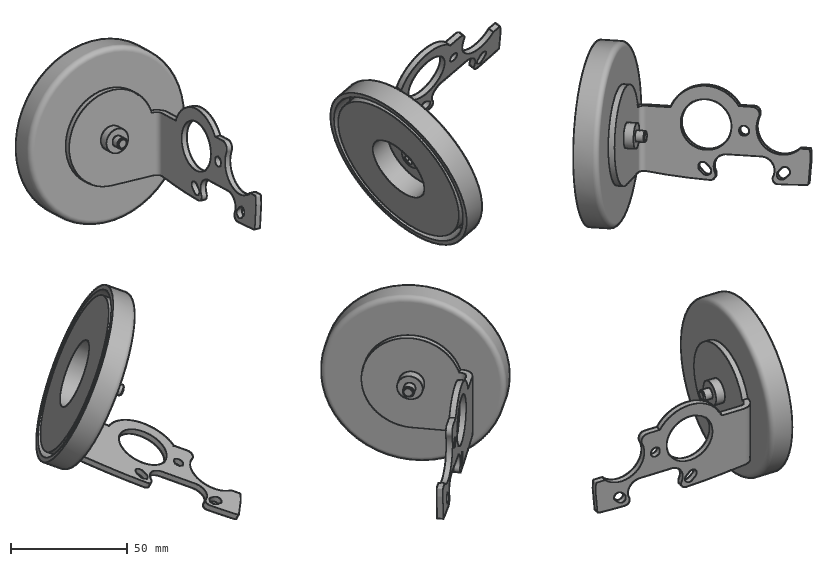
import cadquery as cq
import math

POT_DIAMETER = 81.0
POT_RADIUS = POT_DIAMETER / 2
POT_LENGTH = 11.1
POT_EDGE_ROUND = 2.4
GROOVE_OUTER_RADIUS = 38.3
GROOVE_INNER_RADIUS = 35.8
BORE_RADIUS = 15.3
POT_FLOOR = 1.6
BORE_DEPTH = POT_LENGTH - POT_FLOOR
GROOVE_DEPTH = BORE_DEPTH

HEAD_RADIUS = 5.5
HEAD_HEIGHT = 3.0
HEAD_ROUND = 2.4
SOCKET_ACROSS_FLATS = 4.0
SOCKET_DEPTH = 2.0
SHANK_RADIUS = 2.5
SHANK_END_X = 22.4
SHANK_CHAMFER = 0.5

NUT_RADIUS = 5.6
NUT_THICKNESS = 4.4

SHEET = 2.8
BEND_OUTER_RADIUS = 5.4
BEND_INNER_RADIUS = BEND_OUTER_RADIUS - SHEET
FLANGE_RADIUS = 22.0
FLANGE_BACK_X = POT_LENGTH
FLANGE_FRONT_X = FLANGE_BACK_X + SHEET
PLATE_START_X = FLANGE_BACK_X + BEND_OUTER_RADIUS
PLATE_END_X = 89.3
PLATE_OUTER_Y = 27.0
PLATE_INNER_Y = PLATE_OUTER_Y - SHEET
BEND_START_Y = PLATE_OUTER_Y - BEND_OUTER_RADIUS

RING_X = 43.0
CRADLE_X = 76.7
MIDDLE_X = (RING_X + CRADLE_X) / 2
RING_Z = 0.4
RING_HOLE_RADIUS = 11.25
RING_OUTER_RADIUS = 17.2
CRADLE_RADIUS = 11.3

ARM_TOP_Z = 7.05
ARM_BOTTOM_Z = -FLANGE_RADIUS
SHOULDER_Z = 9.5
SHOULDER_ROUND = 3.0
TAIL_TOP_Z = -7.8
TAIL_TOP_X = 89.0
TAIL_WIDEST_Z = -12.0
TAIL_BOTTOM_X = 88.3
TAIL_BOTTOM_Z = -23.7
TAIL_ROUND = 0.7

NOTCH_TOP_Z = -12.3
NOTCH_RADIUS = 5.8
NOTCH_HALF_WIDTH = 13.5
NOTCH_ARC_OFFSET_X = NOTCH_HALF_WIDTH - NOTCH_RADIUS
NOTCH_ARC_Z = NOTCH_TOP_Z - NOTCH_RADIUS
FOOT_ROUND = 2.4
FOOT_BOTTOM_Z = -24.2
ARM_BOTTOM_SAG = 0.4
TAIL_BOTTOM_SAG = 0.1

PIN_HOLE_RADIUS = 2.2
PIN_HOLE_Z = -1.3
SLOT_OFFSET_X = 17.4
SLOT_Z = -19.2
SLOT_WIDTH = 4.2
SLOT_LENGTH = 6.4
SLOT_TILT = 45.0


def cylinder_x(radius, start_x, end_x):
    """A cylinder about the X axis between two X positions."""
    return cq.Workplane("YZ", origin=(start_x, 0, 0)).circle(radius).extrude(end_x - start_x)


def point_between(center_a, radius_a, center_b, radius_b):
    """The touching point of two circles that meet from outside."""
    share = radius_a / (radius_a + radius_b)
    return tuple(a + share * (b - a) for a, b in zip(center_a, center_b))


def point_on_circle(center, radius, degrees):
    angle = math.radians(degrees)
    return (center[0] + radius * math.cos(angle), center[1] + radius * math.sin(angle))


def make_pot():
    pot = cylinder_x(POT_RADIUS, 0, POT_LENGTH).faces(">X").edges().fillet(POT_EDGE_ROUND)
    groove = cylinder_x(GROOVE_OUTER_RADIUS, 0, GROOVE_DEPTH).cut(
        cylinder_x(GROOVE_INNER_RADIUS, 0, GROOVE_DEPTH)
    )
    bore = cylinder_x(BORE_RADIUS, 0, BORE_DEPTH)
    screw_hole = cylinder_x(SHANK_RADIUS, BORE_DEPTH, POT_LENGTH)
    return pot.cut(groove).cut(bore).cut(screw_hole)


def make_screw():
    head_top_x = BORE_DEPTH - HEAD_HEIGHT
    head = cylinder_x(HEAD_RADIUS, head_top_x, BORE_DEPTH).faces("<X").edges().fillet(HEAD_ROUND)
    shank = cylinder_x(SHANK_RADIUS, BORE_DEPTH, SHANK_END_X).faces(">X").edges().chamfer(SHANK_CHAMFER)
    across_corners = SOCKET_ACROSS_FLATS / math.cos(math.radians(30))
    socket = cq.Workplane("YZ", origin=(head_top_x, 0, 0)).polygon(6, across_corners).extrude(SOCKET_DEPTH)
    return head.union(shank).cut(socket)


def make_nut():
    end_x = FLANGE_FRONT_X + NUT_THICKNESS
    return cylinder_x(NUT_RADIUS, FLANGE_FRONT_X, end_x).cut(
        cylinder_x(SHANK_RADIUS, FLANGE_FRONT_X, end_x)
    )


def make_flange():
    """The round flange, with a straight strip that leads to the bend."""
    disc = cylinder_x(FLANGE_RADIUS, FLANGE_BACK_X, FLANGE_FRONT_X)
    strip = (
        cq.Workplane("XY", origin=(FLANGE_BACK_X, 0, ARM_BOTTOM_Z))
        .box(SHEET, BEND_START_Y, ARM_TOP_Z - ARM_BOTTOM_Z, centered=False)
    )
    return disc.union(strip).cut(cylinder_x(SHANK_RADIUS, FLANGE_BACK_X, FLANGE_FRONT_X))


def make_bend():
    """The quarter bend between the flange and the plate."""
    center = (PLATE_START_X, BEND_START_Y)
    return (
        cq.Workplane("XY", origin=(0, 0, ARM_BOTTOM_Z))
        .moveTo(FLANGE_BACK_X, BEND_START_Y)
        .threePointArc(point_on_circle(center, BEND_OUTER_RADIUS, 135), (PLATE_START_X, PLATE_OUTER_Y))
        .lineTo(PLATE_START_X, PLATE_INNER_Y)
        .threePointArc(point_on_circle(center, BEND_INNER_RADIUS, 135), (FLANGE_FRONT_X, BEND_START_Y))
        .close()
        .extrude(ARM_TOP_Z - ARM_BOTTOM_Z)
    )


def plate_plane():
    """The plate's outer face, with X and Z of the part as its axes."""
    return cq.Workplane("XZ", origin=(0, PLATE_OUTER_Y, 0))


def make_plate_blank():
    """The plate's outline, without its holes."""
    ring = (RING_X, RING_Z)
    cradle = (CRADLE_X, RING_Z)

    ring_start_x = RING_X - math.sqrt(RING_OUTER_RADIUS**2 - (ARM_TOP_Z - RING_Z) ** 2)
    ring_end_x = RING_X + math.sqrt(RING_OUTER_RADIUS**2 - (SHOULDER_Z - RING_Z) ** 2)

    shoulder_z = SHOULDER_Z - SHOULDER_ROUND
    shoulder_reach = math.sqrt((CRADLE_RADIUS + SHOULDER_ROUND) ** 2 - (shoulder_z - RING_Z) ** 2)
    shoulder = (CRADLE_X - shoulder_reach, shoulder_z)
    cradle_start = point_between(cradle, CRADLE_RADIUS, shoulder, SHOULDER_ROUND)
    cradle_end_x = CRADLE_X + math.sqrt(CRADLE_RADIUS**2 - (TAIL_TOP_Z - RING_Z) ** 2)

    foot_z = FOOT_BOTTOM_Z + FOOT_ROUND
    foot_reach = math.sqrt((NOTCH_RADIUS + FOOT_ROUND) ** 2 - (NOTCH_ARC_Z - foot_z) ** 2)
    foot_offset = NOTCH_ARC_OFFSET_X + foot_reach
    left_foot = (MIDDLE_X - foot_offset, foot_z)
    right_foot = (MIDDLE_X + foot_offset, foot_z)
    left_notch = (MIDDLE_X - NOTCH_ARC_OFFSET_X, NOTCH_ARC_Z)
    right_notch = (MIDDLE_X + NOTCH_ARC_OFFSET_X, NOTCH_ARC_Z)
    left_meeting = point_between(left_notch, NOTCH_RADIUS, left_foot, FOOT_ROUND)
    right_meeting = point_between(right_notch, NOTCH_RADIUS, right_foot, FOOT_ROUND)

    outline = (
        plate_plane()
        .moveTo(PLATE_START_X, ARM_BOTTOM_Z)
        .lineTo(PLATE_START_X, ARM_TOP_Z)
        .lineTo(ring_start_x, ARM_TOP_Z)
        .threePointArc(point_on_circle(ring, RING_OUTER_RADIUS, 90), (ring_end_x, SHOULDER_Z))
        .lineTo(shoulder[0], SHOULDER_Z)
        .threePointArc(point_on_circle(shoulder, SHOULDER_ROUND, 30), cradle_start)
        .threePointArc(point_on_circle(cradle, CRADLE_RADIUS, 240), (cradle_end_x, TAIL_TOP_Z))
        .lineTo(TAIL_TOP_X, TAIL_TOP_Z)
        .lineTo(PLATE_END_X, TAIL_WIDEST_Z)
        .lineTo(TAIL_BOTTOM_X, TAIL_BOTTOM_Z)
        .sagittaArc((right_foot[0], FOOT_BOTTOM_Z), TAIL_BOTTOM_SAG)
        .threePointArc(point_on_circle(right_foot, FOOT_ROUND, 200), right_meeting)
        .threePointArc(
            point_on_circle(right_notch, NOTCH_RADIUS, 30), (right_notch[0], NOTCH_TOP_Z)
        )
        .lineTo(left_notch[0], NOTCH_TOP_Z)
        .threePointArc(point_on_circle(left_notch, NOTCH_RADIUS, 150), left_meeting)
        .threePointArc(
            point_on_circle(left_foot, FOOT_ROUND, -20), (left_foot[0], FOOT_BOTTOM_Z)
        )
        .sagittaArc((PLATE_START_X, ARM_BOTTOM_Z), ARM_BOTTOM_SAG)
        .close()
    )
    blank = outline.extrude(SHEET)
    for corner_x, corner_z in ((TAIL_TOP_X, TAIL_TOP_Z), (TAIL_BOTTOM_X, TAIL_BOTTOM_Z)):
        corner = (corner_x, PLATE_OUTER_Y - SHEET / 2, corner_z)
        blank = blank.edges(cq.selectors.NearestToPointSelector(corner)).fillet(TAIL_ROUND)
    return blank


def make_plate_holes():
    """The ring hole, the pin hole and two mirrored tilted slots."""
    holes = plate_plane().center(RING_X, RING_Z).circle(RING_HOLE_RADIUS).extrude(SHEET)
    holes = holes.union(plate_plane().center(MIDDLE_X, PIN_HOLE_Z).circle(PIN_HOLE_RADIUS).extrude(SHEET))
    for side in (-1, 1):
        slot = (
            plate_plane()
            .center(MIDDLE_X + side * SLOT_OFFSET_X, SLOT_Z)
            .slot2D(SLOT_LENGTH, SLOT_WIDTH, side * SLOT_TILT)
            .extrude(SHEET)
        )
        holes = holes.union(slot)
    return holes


def make_bracket():
    plate = make_plate_blank().cut(make_plate_holes())
    return make_flange().union(make_bend()).union(plate)


pot = make_pot()
screw = make_screw()
nut = make_nut()
bracket = make_bracket()

result = cq.Compound.makeCompound([pot.val(), bracket.val(), screw.val(), nut.val()])